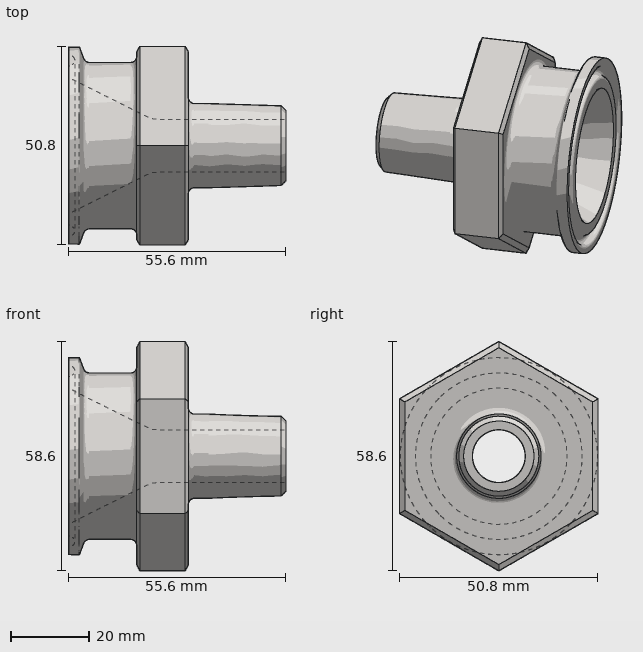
import cadquery as cq
import math

rim_width = 2.8
hex_start = 17.35
hex_end = 30.6
taper_start = 35.8
overall_length = 55.55

flange_radius = 50.4 / 2
neck_radius = 42.6 / 2
ferrule_slope = 20
rim_fillet = 0.25
shoulder_fillet = 1.5

groove_radius = 21.8
groove_depth = 1.6
groove_wall_angle = 70
groove_floor_radius = 1.25
groove_lip_radius = 0.9

hex_across_corners = 58.65
hex_chamfer_length = 0.8
hex_chamfer_depth = 1.4

spigot_radius = 21.6 / 2
taper_ratio = 1 / 32
spigot_chamfer = 1.25

bore_radius = 13.45 / 2
mouth_radius = 17.4
cone_length = 21.4
bore_fillet = 6.9


def revolve_about_x(profile):
    """Turn a closed profile (X along the axis, Y as radius) around the X axis."""
    return profile.close().revolve(360, (0, 0, 0), (1, 0, 0))


def ring_at(x):
    """Select the circular edges centred on the X axis at position x."""
    reach = 0.05
    return cq.selectors.BoxSelector((x - reach, -reach, -reach), (x + reach, reach, reach))


def ferrule():
    """Clamp flange with a conical back that runs into the neck through a fillet."""
    slope_rise = (flange_radius - neck_radius) * math.tan(math.radians(ferrule_slope))
    neck_start = rim_width + slope_rise
    profile = (
        cq.Workplane("XY")
        .lineTo(0, flange_radius)
        .lineTo(rim_width, flange_radius)
        .lineTo(neck_start, neck_radius)
        .lineTo(hex_start, neck_radius)
        .lineTo(hex_start, 0)
    )
    return (
        revolve_about_x(profile)
        .edges(ring_at(neck_start))
        .fillet(shoulder_fillet)
        .edges(ring_at(rim_width))
        .fillet(rim_fillet)
    )


def hexagon():
    """Hexagonal prism with corners at +Z and -Z and both end faces chamfered."""
    middle = (hex_start + hex_end) / 2
    half_length = (hex_end - hex_start) / 2
    chamfer_taper = math.degrees(math.atan(hex_chamfer_depth / hex_chamfer_length))
    half = (
        cq.Workplane("YZ", origin=(middle, 0, 0))
        .transformed(rotate=(0, 0, 90))
        .polygon(6, hex_across_corners)
        .extrude(half_length - hex_chamfer_length)
        .faces(">X")
        .wires()
        .toPending()
        .workplane()
        .extrude(hex_chamfer_length, taper=chamfer_taper)
    )
    return half.union(half.mirror("YZ", (middle, 0, 0)))


def spigot():
    """Short cylinder followed by a pipe-thread taper with a 45 degree end chamfer."""
    chamfer_start = overall_length - spigot_chamfer
    small_radius = spigot_radius - taper_ratio * (chamfer_start - taper_start)
    profile = (
        cq.Workplane("XY")
        .moveTo(hex_end, 0)
        .lineTo(hex_end, spigot_radius)
        .lineTo(taper_start, spigot_radius)
        .lineTo(chamfer_start, small_radius)
        .lineTo(overall_length, small_radius - spigot_chamfer)
        .lineTo(overall_length, 0)
    )
    return revolve_about_x(profile)


def bore():
    """Conical mouth narrowing to a straight through bore."""
    profile = (
        cq.Workplane("XY")
        .lineTo(0, mouth_radius)
        .lineTo(cone_length, bore_radius)
        .lineTo(overall_length, bore_radius)
        .lineTo(overall_length, 0)
    )
    return revolve_about_x(profile).edges(ring_at(cone_length)).fillet(bore_fillet)


def gasket_groove():
    """Ring with a round floor, steep straight walls and rounded lips."""
    wall = math.radians(groove_wall_angle)
    floor_half_width = groove_floor_radius * math.sin(wall)
    floor_rise = groove_floor_radius * (1 - math.cos(wall))
    lip_width = groove_lip_radius * math.sin(wall)
    lip_drop = groove_lip_radius * (1 - math.cos(wall))
    wall_width = (groove_depth - floor_rise - lip_drop) / math.tan(wall)
    lip_edge = floor_half_width + wall_width
    mouth_edge = lip_edge + lip_width
    lip_middle_x = groove_lip_radius * (1 - math.cos(wall / 2))
    lip_middle_offset = mouth_edge - groove_lip_radius * math.sin(wall / 2)
    profile = (
        cq.Workplane("XY")
        .moveTo(0, groove_radius - mouth_edge)
        .threePointArc(
            (lip_middle_x, groove_radius - lip_middle_offset),
            (lip_drop, groove_radius - lip_edge),
        )
        .lineTo(groove_depth - floor_rise, groove_radius - floor_half_width)
        .threePointArc(
            (groove_depth, groove_radius),
            (groove_depth - floor_rise, groove_radius + floor_half_width),
        )
        .lineTo(lip_drop, groove_radius + lip_edge)
        .threePointArc(
            (lip_middle_x, groove_radius + lip_middle_offset),
            (0, groove_radius + mouth_edge),
        )
    )
    return revolve_about_x(profile)


body = ferrule().union(hexagon()).union(spigot())
body = body.edges(ring_at(hex_start)).fillet(shoulder_fillet)
body = body.edges(ring_at(hex_end)).fillet(shoulder_fillet)
result = body.cut(bore()).cut(gasket_groove())